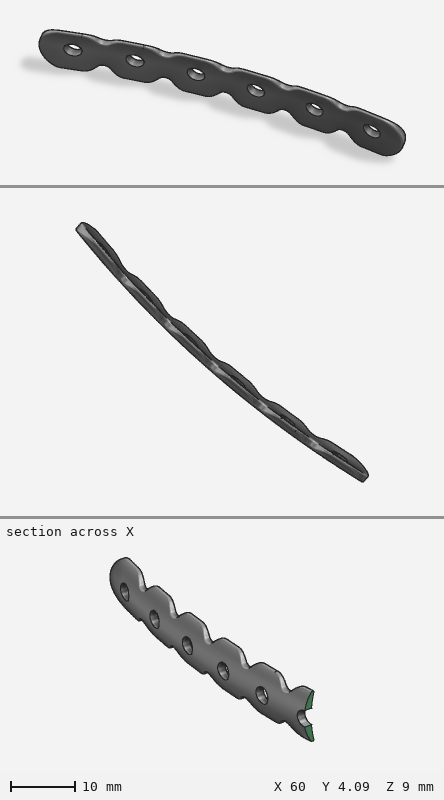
import cadquery as cq
import math

length = 60.0
width = 9.0
hole_count = 6
pitch = 9.85
hole_diameter = 2.9
lobe_radius = 5.0
waist_width = 5.3
corner_radius = 2.4

thickness = 1.45
lengthwise_radius = 174.05
back_cross_radius = 7.8
front_cross_radius = 18.0
edge_radius = 0.25

cut_margin = 0.6
sweep_margin = 2.0
cut_depth = width

half_length = length / 2
half_width = width / 2
lobe_centers = [(i - (hole_count - 1) / 2) * pitch for i in range(hole_count)]

flat_half = math.sqrt(lobe_radius**2 - half_width**2)

half_pitch = pitch / 2
half_waist = waist_width / 2
notch_radius = (half_pitch**2 + half_waist**2 - lobe_radius**2) / (2 * (lobe_radius - half_waist))
contact_ratio = notch_radius / (lobe_radius + notch_radius)
contact_x = half_pitch * contact_ratio
contact_z = (half_waist + notch_radius) * (1 - contact_ratio)

arc_mid_x = (flat_half + half_pitch - contact_x) / 2
arc_mid_z = math.sqrt(lobe_radius**2 - arc_mid_x**2)


def along_y():
    """Sketch plane clear of the back face; extrusions from it run toward -Y."""
    return cq.Workplane("XZ", origin=(0, cut_margin, 0))


def add_long_edge(outline, side):
    """Trace flats, lobe arcs and notches of one long edge: rightward on top (side 1), leftward below (-1)."""

    def place(x, z):
        return (side * x, side * z)

    for start in lobe_centers[:-1]:
        notch_x = start + half_pitch
        following = start + pitch
        outline = (
            outline.lineTo(*place(start + flat_half, half_width))
            .threePointArc(place(start + arc_mid_x, arc_mid_z), place(notch_x - contact_x, contact_z))
            .threePointArc(place(notch_x, half_waist), place(notch_x + contact_x, contact_z))
            .threePointArc(place(following - arc_mid_x, arc_mid_z), place(following - flat_half, half_width))
        )
    return outline.lineTo(*place(lobe_centers[-1] + flat_half, half_width))


def scalloped_prism():
    """Row of lobes extruded right through the curved bar, with the corners of the flats eased."""
    end_flat_x = lobe_centers[-1] + flat_half
    outline = along_y().moveTo(-end_flat_x, half_width)
    outline = add_long_edge(outline, 1).threePointArc((half_length, 0), (end_flat_x, -half_width))
    outline = add_long_edge(outline, -1).threePointArc((-half_length, 0), (-end_flat_x, half_width))
    prism = outline.close().extrude(cut_depth)
    return prism.edges("|Y").edges(">Z or <Z").fillet(corner_radius)


def hole_pins():
    """One straight pin per lobe, running along Y."""
    centers = [(x, 0) for x in lobe_centers]
    return along_y().pushPoints(centers).circle(hole_diameter / 2).extrude(cut_depth)


def cross_arc(crown_y, radius, half_height):
    """Bezier control points following a circular arc across the width, crowned toward +Y."""
    half_angle = math.asin(half_height / radius)
    handle = 4 / 3 * math.tan(half_angle / 2) * radius
    edge_y = crown_y - radius * (1 - math.cos(half_angle))
    handle_y = edge_y + handle * math.sin(half_angle)
    handle_z = half_height - handle * math.cos(half_angle)
    return [(edge_y, -half_height), (handle_y, -handle_z), (handle_y, handle_z), (edge_y, half_height)]


def curved_bar():
    """Lens-shaped cross section revolved about a distant axis parallel to Z."""
    half_height = half_width + cut_margin
    back = cross_arc(0, back_cross_radius, half_height)
    front = cross_arc(-thickness, front_cross_radius, half_height)
    sweep_angle = 2 * math.degrees(math.asin(half_length / lengthwise_radius)) + sweep_margin
    bar = (
        cq.Workplane("YZ")
        .moveTo(*back[0])
        .bezier(back)
        .lineTo(*front[-1])
        .bezier(front[::-1])
        .close()
        .revolve(sweep_angle, (-lengthwise_radius, 0), (-lengthwise_radius, 1))
    )
    axis = (0, -lengthwise_radius)
    return bar.rotate((*axis, 0), (*axis, 1), -sweep_angle / 2)


plate = curved_bar().intersect(scalloped_prism())

plate = plate.faces("%REVOLUTION").edges().fillet(edge_radius)
result = plate.cut(hole_pins())